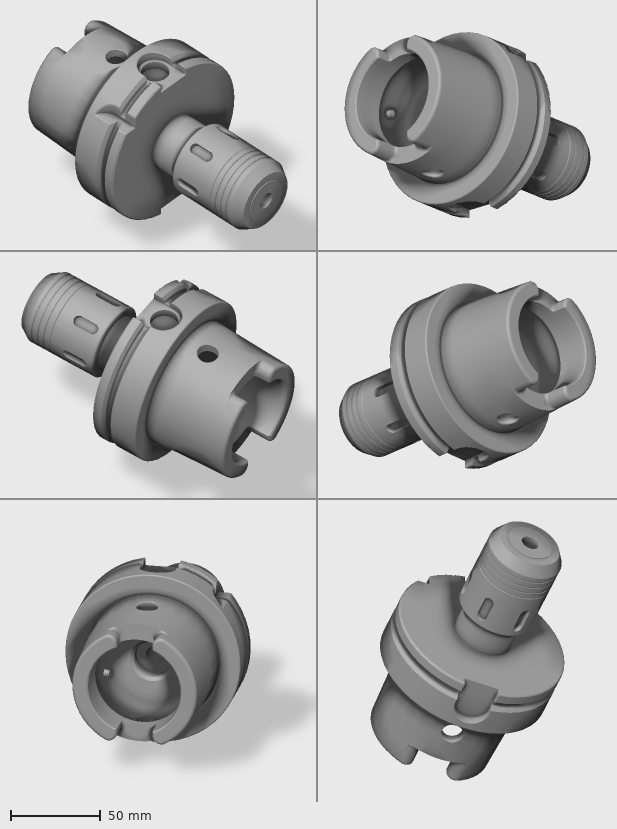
import cadquery as cq
import math


shank_end_radius = 35.5
taper_end_radius = 37.8
shank_root_radius = 38.1
taper_end_x = 48.2
shank_root_x = 49.5
rim_fillet = 1.8

flange_face_x = 50.0
flange_width = 29.1
flange_back_x = flange_face_x + flange_width
flange_diameter = 100.0
flange_radius = flange_diameter / 2
flange_front_fillet = 0.9
flange_back_fillet = 1.0
relief_outer_radius = 39.6
relief_depth = 0.5

groove_center_x = 69.9
groove_top_width = 6.6
groove_neck_width = 3.8
groove_floor_width = 3.3
groove_neck_radius = 48.0
groove_floor_radius = 46.0

neck_radius = 17.0
neck_root_fillet = 0.6
tip_diameter = 26.0
tip_radius = tip_diameter / 2
total_length = 150.0

mouth_diameter = 53.0
mouth_radius = mouth_diameter / 2
mouth_chamfer = 0.8
cavity_radius = 31.5
cavity_start_x = 19.8
cavity_wall_end_x = 40.0
cavity_floor_radius = 24.6
cavity_floor_fillet = cavity_radius - cavity_floor_radius
cavity_floor_x = cavity_wall_end_x + cavity_floor_fillet
seat_radius = 10.5
seat_chamfer = 1.8
seat_depth = 9.0
coolant_hole_diameter = 10.0

drive_slot_width = 20.2
drive_slot_shoulder_z = 31.8
drive_slot_flare_radius = 5.0
drive_slot_fillet = 1.8
upper_drive_slot_depth = 10.0
lower_drive_slot_depth = 15.0

cross_hole_x = 35.1
cross_hole_diameter = 12.0
cross_hole_chamfer = 0.5

keyway_center_x = 64.8
keyway_width = 20.1
keyway_floor_z = 44.1
keyway_chamfer = 0.5
chip_hole_diameter = 16.0
chip_hole_depth = 5.1
notch_floor_z = 31.5
notch_wall_y = -31.5

nut_diameter = 44.0
nut_radius = nut_diameter / 2
sleeve_start_x = 98.5
joint_x = 127.5
ring_end_x = 149.5
nut_back_fillet = 1.0
sleeve_front_chamfer = 0.3
ring_back_fillet = 0.6
ring_nose_start_x = 143.0
ring_face_radius = 18.0
ring_groove_count = 3
ring_groove_pitch = 4.0
ring_groove_width = 1.0
ring_groove_depth = 0.5
first_ring_groove_x = 131.7
wrench_slot_count = 6
wrench_slot_first_angle = 90
wrench_slot_center_x = 110.5
wrench_slot_length = 16.0
wrench_slot_width = 6.0
wrench_slot_floor_radius = 18.9

pin_x = 23.0
pin_head_diameter = 4.0
pin_tip_diameter = 3.3
pin_tip_end_y = 18.9
pin_shoulder_y = 19.8
pin_head_end_y = 21.9

margin = 0.2


def cylinder_x(radius, start_x, end_x):
    """A cylinder on the X axis."""
    return cq.Workplane("YZ", origin=(start_x, 0, 0)).circle(radius).extrude(end_x - start_x)


def cylinder_z(x, y, diameter, bottom_z, top_z):
    """A vertical cylinder."""
    return cq.Workplane("XY", origin=(x, y, bottom_z)).circle(diameter / 2).extrude(top_z - bottom_z)


def revolve_x(outline):
    """A turned body from an outline in x and radius."""
    return outline.close().revolve(360, (0, 0, 0), (1, 0, 0))


def turned_over(body):
    """The same body turned half a turn about the X axis."""
    return body.rotate((0, 0, 0), (1, 0, 0), 180)


def turned_holder():
    """The solid shank, flange, neck and tip, before anything is cut from them."""
    outline = (
        cq.Workplane("XY")
        .moveTo(0, 0)
        .lineTo(0, shank_end_radius)
        .lineTo(taper_end_x, taper_end_radius)
        .lineTo(shank_root_x, shank_root_radius)
        .lineTo(flange_face_x + relief_depth, shank_root_radius)
        .lineTo(flange_face_x, relief_outer_radius)
        .lineTo(flange_face_x, flange_radius)
        .lineTo(flange_back_x, flange_radius)
        .lineTo(flange_back_x, neck_radius)
        .lineTo(joint_x, neck_radius)
        .lineTo(joint_x, tip_radius)
        .lineTo(total_length, tip_radius)
        .lineTo(total_length, 0)
    )
    body = revolve_x(outline)
    body = body.faces("<X").edges().fillet(rim_fillet)
    largest_circles = cq.selectors.RadiusNthSelector(-1)
    body = body.edges(largest_circles).edges("<X").fillet(flange_front_fillet)
    body = body.edges(largest_circles).edges(">X").fillet(flange_back_fillet)
    reach = neck_radius + 1.5
    neck_root = cq.selectors.BoxSelector(
        (flange_back_x - margin, -reach, -reach),
        (flange_back_x + margin, reach, reach),
        boundingbox=True,
    )
    return body.edges(neck_root).fillet(neck_root_fillet)


def gripper_groove():
    outline = (
        cq.Workplane("XY")
        .moveTo(groove_center_x - groove_top_width / 2, flange_radius)
        .lineTo(groove_center_x - groove_neck_width / 2, groove_neck_radius)
        .lineTo(groove_center_x - groove_floor_width / 2, groove_floor_radius)
        .lineTo(groove_center_x + groove_floor_width / 2, groove_floor_radius)
        .lineTo(groove_center_x + groove_neck_width / 2, groove_neck_radius)
        .lineTo(groove_center_x + groove_top_width / 2, flange_radius)
    )
    return revolve_x(outline)


def shank_cavity():
    """The bore, the wider cavity behind it and the seat in the cavity floor."""
    fillet_middle = cavity_floor_fillet * math.sqrt(0.5)
    seat_end_x = cavity_floor_x + seat_depth
    outline = (
        cq.Workplane("XY")
        .moveTo(0, 0)
        .lineTo(0, mouth_radius + mouth_chamfer)
        .lineTo(mouth_chamfer, mouth_radius)
        .lineTo(cavity_start_x, mouth_radius)
        .lineTo(cavity_start_x, cavity_radius)
        .lineTo(cavity_wall_end_x, cavity_radius)
        .threePointArc(
            (cavity_wall_end_x + fillet_middle, cavity_floor_radius + fillet_middle),
            (cavity_floor_x, cavity_floor_radius),
        )
        .lineTo(cavity_floor_x, seat_radius + seat_chamfer)
        .lineTo(cavity_floor_x + seat_chamfer, seat_radius)
        .lineTo(seat_end_x, seat_radius)
        .lineTo(seat_end_x, 0)
    )
    return revolve_x(outline)


def drive_slot(depth):
    """The upper drive slot: straight walls that curve outwards round an arc near the outer surface."""
    half_width = drive_slot_width / 2
    arc_center_y = half_width + drive_slot_flare_radius
    arc_center_z = drive_slot_shoulder_z - drive_slot_flare_radius
    arc_top = (arc_center_y, drive_slot_shoulder_z)
    ray_angle = math.atan2(arc_center_y, arc_center_z)
    arc_end_radius = math.hypot(arc_center_y, arc_center_z) + drive_slot_flare_radius
    arc_end = (arc_end_radius * math.sin(ray_angle), arc_end_radius * math.cos(ray_angle))
    ray_end = (flange_radius * math.sin(ray_angle), flange_radius * math.cos(ray_angle))
    half_slot = (
        cq.Workplane("YZ")
        .moveTo(0, 0)
        .lineTo(half_width, 0)
        .lineTo(half_width, arc_center_z)
        .threePointArc(arc_top, arc_end)
        .lineTo(*ray_end)
        .lineTo(0, flange_radius)
        .close()
        .extrude(depth)
    )
    plate_size = 3 * flange_radius
    mouth_plate = cq.Workplane("YZ").rect(plate_size, plate_size).extrude(-drive_slot_fillet)
    half_slot = half_slot.union(mouth_plate)
    for end_x in (0, depth):
        wall_end = cq.selectors.BoxSelector(
            (end_x - margin, half_width - margin, 1.5),
            (end_x + margin, *arc_end),
        )
        half_slot = half_slot.edges(wall_end).fillet(drive_slot_fillet)
    return half_slot.union(half_slot.mirror("XZ"))


def keyway(center_y, floor_z):
    """A round-ended slot, open towards +X and +Z."""
    top_z = flange_radius + 1.5
    run = flange_back_x + 1.5 - keyway_center_x
    round_end = cylinder_z(keyway_center_x, center_y, keyway_width, floor_z, top_z)
    straight = (
        cq.Workplane("XY", origin=(keyway_center_x + run / 2, center_y, floor_z))
        .rect(run, keyway_width)
        .extrude(top_z - floor_z)
    )
    return round_end.union(straight)


def is_on_flange(point):
    """Whether a point lies on the outer cylinder of the flange."""
    return abs(math.hypot(point.y, point.z) - flange_radius) < margin / 10


def chamfer_on_flange(body, center_y, center_z):
    """Chamfer the rim that a keyway leaves on the outside of the flange."""
    reach = keyway_width / 2 + margin
    rim_box = cq.selectors.BoxSelector(
        (keyway_center_x - reach, center_y - reach, center_z - reach),
        (flange_back_x - margin, center_y + reach, center_z + reach),
    )
    rim = [
        edge
        for edge in body.edges(rim_box).vals()
        if is_on_flange(edge.startPoint()) and is_on_flange(edge.endPoint())
    ]
    return body.newObject(rim).chamfer(keyway_chamfer)


def cut_keyways(body):
    """Cut the two opposite keyways, the orientation notch and the chip hole."""
    upper_keyway = keyway(0, keyway_floor_z)
    notch_center_y = notch_wall_y - keyway_width / 2
    body = body.cut(upper_keyway).cut(turned_over(upper_keyway))
    body = body.cut(keyway(notch_center_y, notch_floor_z))
    rim_centers = (
        (0, flange_radius),
        (0, -flange_radius),
        (notch_center_y, notch_floor_z),
    )
    for center_y, center_z in rim_centers:
        body = chamfer_on_flange(body, center_y, center_z)
    chip_hole_floor_z = keyway_floor_z - chip_hole_depth
    return body.cut(
        cylinder_z(keyway_center_x, 0, chip_hole_diameter, chip_hole_floor_z, flange_radius)
    )


def cut_cross_holes(body):
    """Cut the two opposite holes in the shank wall and chamfer their outer rims."""
    hole = cylinder_z(cross_hole_x, 0, cross_hole_diameter, 0, flange_radius)
    body = body.cut(hole).cut(turned_over(hole))
    hole_rims = cq.selectors.BoxSelector(
        (cross_hole_x - 2 * margin, -2 * margin, -flange_radius),
        (cross_hole_x + 2 * margin, 2 * margin, flange_radius),
    )
    return body.edges(hole_rims).chamfer(cross_hole_chamfer)


def make_holder():
    body = turned_holder()
    body = body.cut(drive_slot(upper_drive_slot_depth))
    body = body.cut(turned_over(drive_slot(lower_drive_slot_depth)))
    body = cut_keyways(body)
    body = cut_cross_holes(body)
    body = body.cut(gripper_groove()).cut(shank_cavity())
    return body.cut(cylinder_x(coolant_hole_diameter / 2, 0, total_length))


def wrench_slot():
    """A flat-floored slot on the +Z side of the sleeve."""
    return (
        cq.Workplane("XY", origin=(wrench_slot_center_x, 0, wrench_slot_floor_radius))
        .slot2D(wrench_slot_length, wrench_slot_width)
        .extrude(nut_radius)
    )


def make_sleeve():
    body = cylinder_x(nut_radius, sleeve_start_x, joint_x)
    body = body.faces("<X").edges().fillet(nut_back_fillet)
    body = body.faces(">X").edges().chamfer(sleeve_front_chamfer)
    body = body.cut(cylinder_x(neck_radius, sleeve_start_x, joint_x))
    for i in range(wrench_slot_count):
        angle = wrench_slot_first_angle + i * 360 / wrench_slot_count
        body = body.cut(wrench_slot().rotate((0, 0, 0), (1, 0, 0), angle))
    return body


def make_front_ring():
    nose_length = ring_end_x - ring_nose_start_x
    nose_drop = nut_radius - ring_face_radius
    body = cylinder_x(nut_radius, joint_x, ring_end_x)
    body = body.faces("<X").edges().fillet(ring_back_fillet)
    body = body.faces(">X").edges().chamfer(nose_length, nose_drop)
    body = body.cut(cylinder_x(tip_radius, joint_x, ring_end_x))
    for i in range(ring_groove_count):
        start_x = first_ring_groove_x + i * ring_groove_pitch - ring_groove_width / 2
        end_x = start_x + ring_groove_width
        groove = cylinder_x(nut_radius + 1.5, start_x, end_x)
        groove = groove.cut(cylinder_x(nut_radius - ring_groove_depth, start_x, end_x))
        body = body.cut(groove)
    return body


def make_pin():
    head = (
        cq.Workplane("XZ", origin=(pin_x, pin_head_end_y, 0))
        .circle(pin_head_diameter / 2)
        .extrude(pin_head_end_y - pin_shoulder_y)
    )
    tip = (
        cq.Workplane("XZ", origin=(pin_x, pin_shoulder_y, 0))
        .circle(pin_tip_diameter / 2)
        .extrude(pin_shoulder_y - pin_tip_end_y)
    )
    return head.union(tip)


holder = make_holder()
sleeve = make_sleeve()
front_ring = make_front_ring()
pin = make_pin()

result = cq.Compound.makeCompound([holder.val(), sleeve.val(), front_ring.val(), pin.val()])